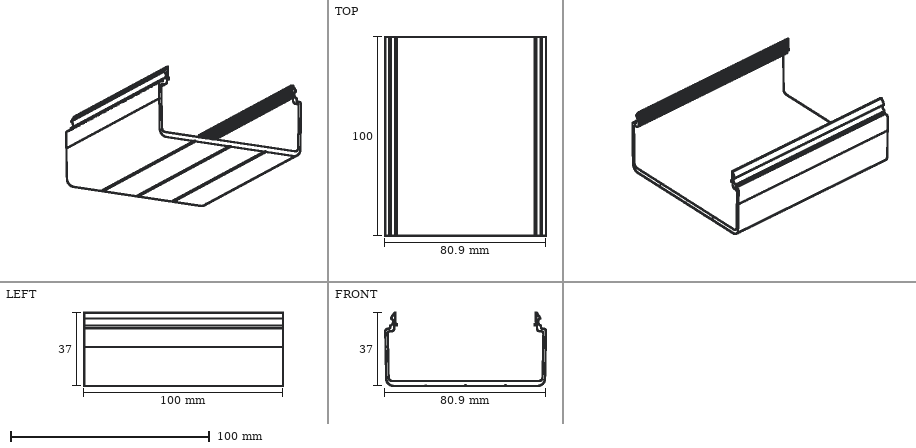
import cadquery as cq
import math

length = 100.0
width = 80.9
height = 37.0

floor_thickness = 2.6
wall_thickness = 1.4
wall_top_x = width / 2
wall_top_z = 27.4
wall_bottom_x = 40.0
outer_radius = 4.0
inner_radius = 1.8

shoulder_radius = 1.5
shoulder_z = wall_top_z + shoulder_radius
ledge_z = 27.5
ledge_radius = 1.6
inner_corner_radius = 0.9
step_x = 38.0
step_chamfer = 0.4
step_top_z = 30.4

stem_x = 35.8
rib_x = 34.6
rib_bottom_z = 30.6
rib_end_z = 31.3
rib_top_z = 31.6

neck_x = 36.5
neck_z = 32.0
barb_x = 37.6
barb_z = 34.1
tip_x = 35.6
tip_chamfer = 0.2
tooth_x = 35.2
tooth_depth = 0.3
tooth_pitch = 1.2
tooth_count = 4

floor_groove_pitch = 20.0
floor_groove_width = 0.8
floor_groove_depth = 0.4
wall_groove_z = 19.7
wall_groove_width = 0.8
wall_groove_depth = 0.1

arc_mid = 1 - math.cos(math.pi / 4)


def wall_outer_x(z):
    """Distance of the leaning outer wall face from the centre plane."""
    lean = (wall_top_x - wall_bottom_x) / (wall_top_z - outer_radius)
    return wall_bottom_x + lean * (z - outer_radius)


def wall_inner_x(z):
    return wall_outer_x(z) - wall_thickness


def half_channel():
    """Half of the profile on the +X side, extruded along Y."""
    profile = (
        cq.Workplane("XZ")
        .moveTo(0, 0)
        .lineTo(wall_bottom_x - outer_radius, 0)
        .threePointArc(
            (wall_bottom_x - outer_radius * arc_mid, outer_radius * arc_mid),
            (wall_bottom_x, outer_radius),
        )
        .lineTo(wall_top_x, wall_top_z)
    )

    profile = (
        profile.threePointArc(
            (wall_top_x - shoulder_radius * arc_mid, shoulder_z - shoulder_radius * arc_mid),
            (wall_top_x - shoulder_radius, shoulder_z),
        )
        .lineTo(step_x + step_chamfer, shoulder_z)
        .lineTo(step_x, shoulder_z + step_chamfer)
        .lineTo(step_x, step_top_z)
        .threePointArc((neck_x, neck_z), (barb_x, barb_z))
        .lineTo(tip_x + tip_chamfer, height - tip_chamfer)
        .lineTo(tip_x, height)
    )

    profile = profile.lineTo(tooth_x, height)
    for tooth in range(tooth_count):
        tooth_top_z = height - tooth * tooth_pitch
        profile = profile.lineTo(tooth_x, tooth_top_z - tooth_pitch / 2)
        profile = profile.lineTo(tooth_x + tooth_depth, tooth_top_z - tooth_pitch)
        if tooth < tooth_count - 1:
            profile = profile.lineTo(tooth_x, tooth_top_z - tooth_pitch)

    corner_x = wall_inner_x(ledge_z - inner_corner_radius)
    profile = (
        profile.lineTo(stem_x, rib_top_z)
        .lineTo(rib_x, rib_end_z)
        .lineTo(rib_x, rib_bottom_z)
        .lineTo(stem_x, rib_bottom_z)
        .lineTo(stem_x, ledge_z + ledge_radius)
        .threePointArc(
            (stem_x + ledge_radius * arc_mid, ledge_z + ledge_radius * arc_mid),
            (stem_x + ledge_radius, ledge_z),
        )
        .lineTo(corner_x - inner_corner_radius, ledge_z)
        .threePointArc(
            (corner_x - inner_corner_radius * arc_mid, ledge_z - inner_corner_radius * arc_mid),
            (corner_x, ledge_z - inner_corner_radius),
        )
    )

    fillet_top_z = floor_thickness + inner_radius
    fillet_x = wall_inner_x(fillet_top_z)
    profile = (
        profile.lineTo(fillet_x, fillet_top_z)
        .threePointArc(
            (fillet_x - inner_radius * arc_mid, floor_thickness + inner_radius * arc_mid),
            (fillet_x - inner_radius, floor_thickness),
        )
        .lineTo(0, floor_thickness)
        .close()
    )
    return profile.extrude(length / 2, both=True)


def groove(points):
    """Triangular cutter running the full length."""
    return cq.Workplane("XZ").polyline(points).close().extrude(length / 2, both=True)


def floor_groove(x):
    half = floor_groove_width / 2
    return groove([(x - half, 0), (x, floor_groove_depth), (x + half, 0)])


def wall_groove():
    low_z = wall_groove_z - wall_groove_width / 2
    high_z = wall_groove_z + wall_groove_width / 2
    bottom_x = wall_outer_x(wall_groove_z) - wall_groove_depth
    return groove([
        (wall_outer_x(low_z), low_z),
        (bottom_x, wall_groove_z),
        (wall_outer_x(high_z), high_z),
    ])


half = half_channel().cut(wall_groove())
result = half.union(half.mirror("YZ"))
for position in (-1, 0, 1):
    result = result.cut(floor_groove(position * floor_groove_pitch))